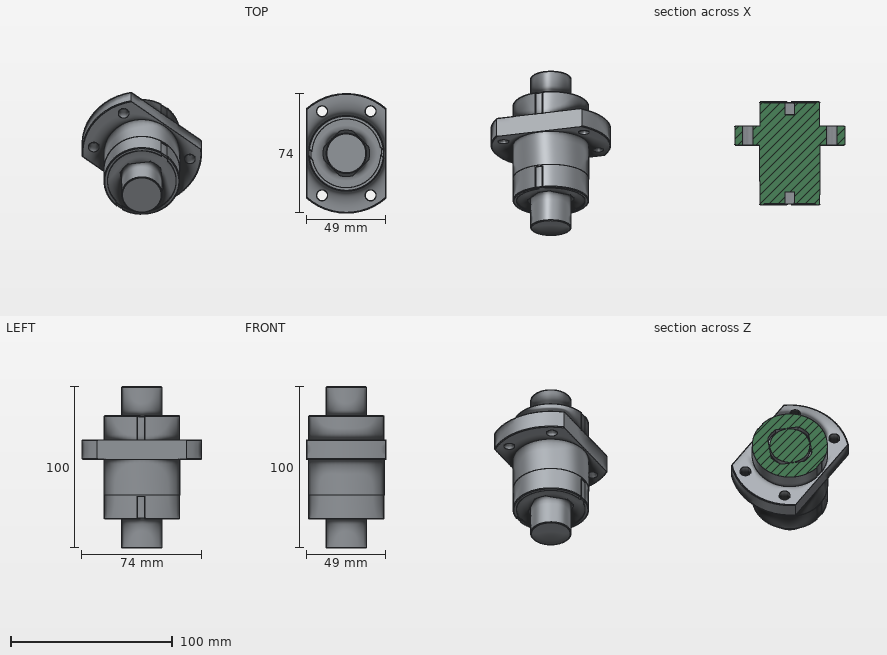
import cadquery as cq
import math

shaft_length = 100.0
shaft_diameter = 25.0
nut_length = 64.0
nut_diameter = 47.0
cap_diameter = 46.8
cap_length = 15.0
edge_chamfer = 0.5

flange_bottom = 5.0
flange_thickness = 12.0
flange_diameter = 74.0
flange_width = 49.0
flange_chamfer = 0.5

bolt_diameter = 6.6
bolt_circle_diameter = 60.0
bolt_angles = (60, 120, 240, 300)

recess_diameter = 42.5
recess_depth = 0.8
opening_diameter = 28.8
opening_across_flats = 25.2
opening_depth = 8.0

notch_floor_diameter = 46.0
notch_ledge_inner_diameter = 43.8
notch_ledge_depth = 0.6
lower_notch_length = 14.1
upper_notch_length = cap_length
notch_outer_y_high = 3.2
notch_outer_y_low = -1.5
notch_slant = 45.0
notch_block_reach = 6.0

nut_end = nut_length / 2
cap_start = nut_end - cap_length


def cylinder(diameter, bottom, height):
    return cq.Workplane("XY").workplane(offset=bottom).circle(diameter / 2).extrude(height)


def make_flange():
    disc = cylinder(flange_diameter, flange_bottom, flange_thickness).edges().chamfer(flange_chamfer)
    sides = (
        cq.Workplane("XY")
        .workplane(offset=flange_bottom)
        .rect(flange_width, flange_diameter)
        .extrude(flange_thickness)
    )
    return disc.intersect(sides)


def make_bolt_holes():
    radius = bolt_circle_diameter / 2
    centers = [
        (radius * math.cos(math.radians(angle)), radius * math.sin(math.radians(angle)))
        for angle in bolt_angles
    ]
    return (
        cq.Workplane("XY")
        .workplane(offset=flange_bottom)
        .pushPoints(centers)
        .circle(bolt_diameter / 2)
        .extrude(flange_thickness)
    )


def make_shaft_opening():
    """Round opening with four flats that face the diagonals."""
    bottom = nut_end - opening_depth
    flats = (
        cq.Workplane("XY")
        .workplane(offset=bottom)
        .transformed(rotate=(0, 0, 45))
        .rect(opening_across_flats, opening_across_flats)
        .extrude(opening_depth)
    )
    opening = cylinder(opening_diameter, bottom, opening_depth).intersect(flats)
    return opening.cut(cylinder(shaft_diameter, bottom, opening_depth))


def make_recess():
    bottom = nut_end - recess_depth
    recess = cylinder(recess_diameter, bottom, recess_depth)
    return recess.cut(cylinder(shaft_diameter, bottom, recess_depth))


def slanted_block(bottom, height):
    """Parallelogram prism crossing the rim on the -X side."""
    reach = notch_block_reach
    outer_x = -cap_diameter / 2
    drop = reach * math.tan(math.radians(notch_slant))
    return (
        cq.Workplane("XY")
        .workplane(offset=bottom)
        .polyline([
            (outer_x - reach, notch_outer_y_high + drop),
            (outer_x + reach, notch_outer_y_high - drop),
            (outer_x + reach, notch_outer_y_low - drop),
            (outer_x - reach, notch_outer_y_low + drop),
        ])
        .close()
        .extrude(height)
    )


def make_notch(notch_length):
    """Shallow groove down the cap side, with a low ledge at its open end."""
    bottom = nut_end - notch_length
    groove = slanted_block(bottom, notch_length).cut(
        cylinder(notch_floor_diameter, bottom, notch_length)
    )
    ledge_bottom = nut_end - notch_ledge_depth
    ledge = slanted_block(ledge_bottom, notch_ledge_depth).cut(
        cylinder(notch_ledge_inner_diameter, ledge_bottom, notch_ledge_depth)
    )
    inner = slanted_block(nut_end - recess_depth, recess_depth).intersect(
        cylinder(notch_ledge_inner_diameter, nut_end - recess_depth, recess_depth)
    )
    inner = inner.cut(cylinder(recess_diameter, nut_end - recess_depth, recess_depth))
    return groove.union(ledge).union(inner)


def make_end_cap(notch_length):
    cap = cylinder(cap_diameter, cap_start, cap_length)
    cap = cap.faces(">Z").edges().chamfer(edge_chamfer)
    cap = cap.cut(make_recess()).cut(make_shaft_opening())
    notch = make_notch(notch_length)
    for angle in (0, 180):
        cap = cap.cut(notch.rotate((0, 0, 0), (0, 0, 1), angle))
    return cap


shaft = cylinder(shaft_diameter, -shaft_length / 2, shaft_length).edges().chamfer(edge_chamfer)
nut = cylinder(nut_diameter, -cap_start, 2 * cap_start)
flange = make_flange()
upper_cap = make_end_cap(upper_notch_length)
lower_cap = make_end_cap(lower_notch_length).mirror("XY")

result = nut.union(flange).union(upper_cap).union(lower_cap).union(shaft)
result = result.cut(make_bolt_holes())